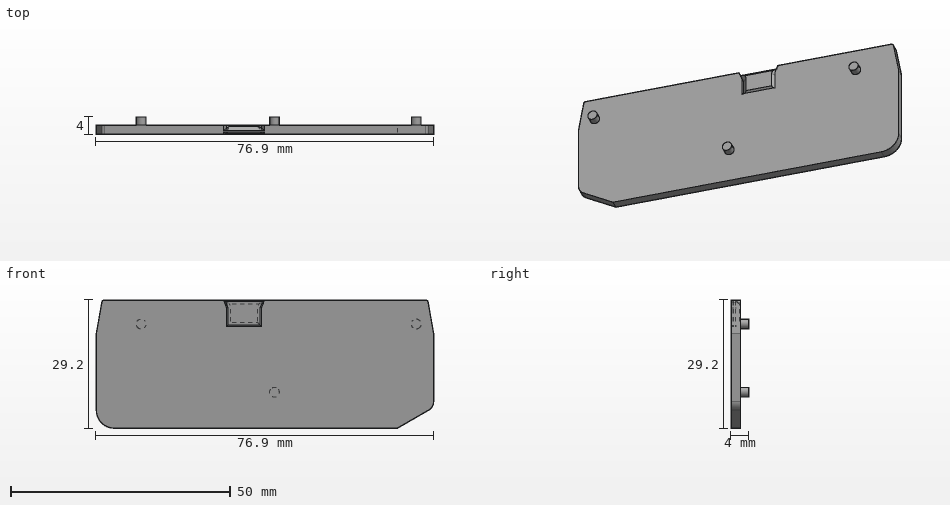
import cadquery as cq
import math

length = 76.9
height = 29.2
total_depth = 4.0
thickness = 2.15

taper_height = 7.6
taper_angle = 10.0
top_corner_radius = 0.6
bottom_left_radius = 4.15
slope_run = 8.3
slope_angle = 30.0
slope_corner_radius = 2.3

pin_diameter = 2.2
pin_length = total_depth - thickness
upper_pin_z = 23.8
lower_pin_z = 8.2
pin_centres = [(-28.2, upper_pin_z), (2.15, lower_pin_z), (34.45, upper_pin_z)]

window_centre_x = -4.8
window_width = 7.9
window_mouth_width = 9.3
window_depth = 6.0
flare_height = 1.85

web_front_y = 0.5
web_back_y = 0.9
front_bevel = 0.3
back_bevel = 0.9


def make_plate():
    left = -length / 2
    right = length / 2
    taper_inset = taper_height * math.tan(math.radians(taper_angle))
    slope_rise = slope_run * math.tan(math.radians(slope_angle))
    plate = (
        cq.Workplane("XZ")
        .moveTo(left, 0)
        .lineTo(right - slope_run, 0)
        .lineTo(right, slope_rise)
        .lineTo(right, height - taper_height)
        .lineTo(right - taper_inset, height)
        .lineTo(left + taper_inset, height)
        .lineTo(left, height - taper_height)
        .close()
        .extrude(-thickness)
    )

    def round_corner(body, x, z, radius):
        corner = cq.selectors.NearestToPointSelector((x, thickness / 2, z))
        return body.edges("|Y").edges(corner).fillet(radius)

    plate = round_corner(plate, left, 0, bottom_left_radius)
    plate = round_corner(plate, right, slope_rise, slope_corner_radius)
    plate = round_corner(plate, left + taper_inset, height, top_corner_radius)
    return round_corner(plate, right - taper_inset, height, top_corner_radius)


def window_prism(front_y, back_y):
    """Solid with the window's outline, between two y positions."""
    half_width = window_width / 2
    half_mouth = window_mouth_width / 2
    return (
        cq.Workplane("XZ", origin=(window_centre_x, front_y, height))
        .moveTo(-half_width, -window_depth)
        .lineTo(half_width, -window_depth)
        .lineTo(half_width, -flare_height)
        .lineTo(half_mouth, 0)
        .lineTo(-half_mouth, 0)
        .lineTo(-half_width, -flare_height)
        .close()
        .extrude(front_y - back_y)
    )


def make_tab():
    tab = window_prism(web_front_y - front_bevel, web_back_y + back_bevel)
    tab = tab.faces("<Y").chamfer(front_bevel)
    return tab.faces(">Y").chamfer(back_bevel)


def make_pins():
    return (
        cq.Workplane("XZ", origin=(0, thickness, 0))
        .pushPoints(pin_centres)
        .circle(pin_diameter / 2)
        .extrude(-pin_length)
    )


result = make_plate().cut(window_prism(0, thickness)).union(make_tab()).union(make_pins())